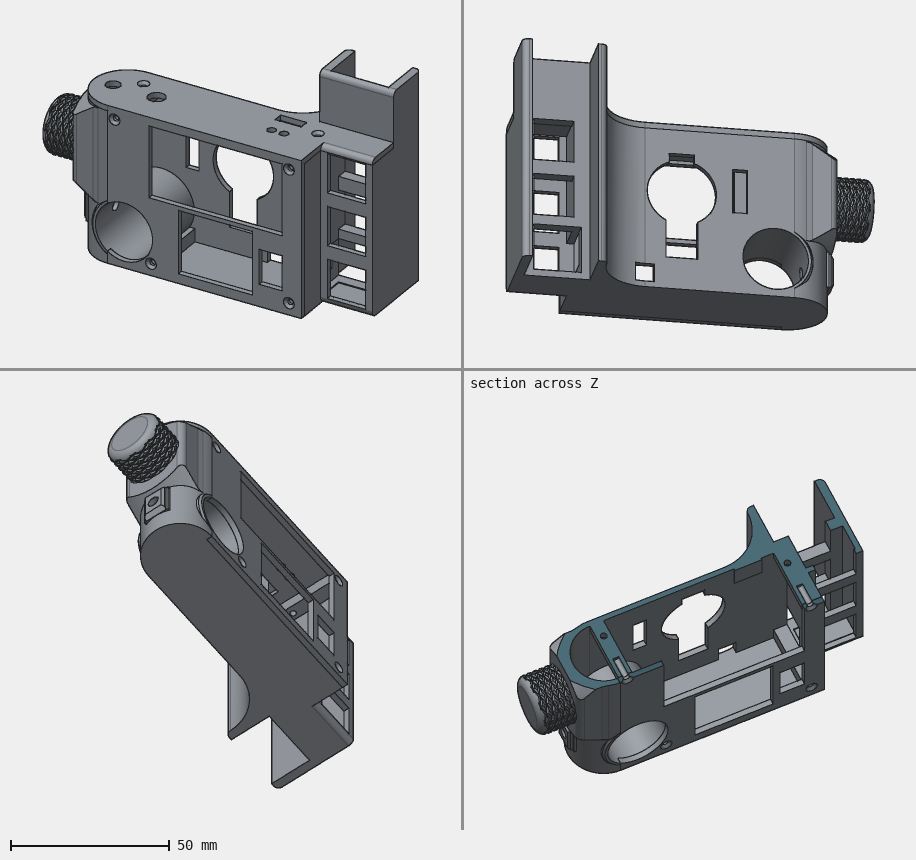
import cadquery as cq
import math


body_width = 25.0
body_height = 56.8
wall = 2.0
edge_radius = 2.0
body_end_x = 71.0
end_wall = 2.3
right_x = 90.0
overshoot = 1.2

half_width = body_width / 2
lid_z = body_height - wall
front_y = -half_width + wall
inner_back_y = half_width - wall
cavity_end_x = body_end_x - end_wall

channel_x = 62.9
channel_height = 75.0
channel_back_y = 29.5
channel_wall = 3.0
sweep_radius = channel_back_y - edge_radius - half_width

bay_front_y = -0.6
bay_window_x = (73.5, 87.5)
bay_window_height = 14.1
bay_window_pitch = 19.0
bay_window_bottom = 2.3
bay_window_count = 3
back_opening_end_x = 83.8
passage_top = 17.9

front_windows = [
    ((15.1, 64.0), (27.8, 53.7)),
    ((26.0, 53.1), (3.5, 26.3)),
    ((55.5, 64.0), (8.0, 20.6)),
]

keyhole_diameter = 22.1
keyhole_x = 36.1
keyhole_z = 33.4
keyhole_notch_width = 8.0
keyhole_notch_top = 46.7
keyhole_slot_width = 10.1
keyhole_slot_bottom = 10.8
side_slot_x = (15.1, 19.8)
side_slot_z = (27.8, 42.7)
square_opening_x = (45.0, 51.0)
square_opening_top = 8.0

lid_holes = [(5.0, -5.4), (6.0, 10.6), (3.0, 52.7), (3.0, 57.3)]

tube_x = 6.0
tube_z = 12.9
tube_outer_diameter = 24.2
tube_bore_diameter = 21.0
tube_chamfer = 0.7

screw_head_diameter = 4.0
screw_diameter = 2.0
countersink_depth = (screw_head_diameter - screw_diameter) / 2
pilot_depth = 7.0
screw_bar = 4.9
left_screw_x = 2.6
right_screw_x = 66.5
low_left_screw_x = 16.0
high_screw_z = 52.4
low_screw_z = 4.3
lid_screw_y = 5.5
front_screws = [
    (left_screw_x, high_screw_z),
    (right_screw_x, high_screw_z),
    (low_left_screw_x, low_screw_z),
    (right_screw_x, low_screw_z),
]
lid_screws = [(left_screw_x, lid_screw_y), (right_screw_x, lid_screw_y)]

knob_z = 37.4
knob_diameter = 20.0
knob_face_x = -26.4
knob_edge_radius = 2.9
shaft_diameter = 7.0
boss_face_x = -14.1
boss_width = 23.0
boss_height = 34.1
boss_edge_radius = 2.1
boss_side_end_x = -5.9
boss_root_x = -3.8
boss_face_radius = 15.8
boss_bevel_angle = 28
knurl_starts = 10
knurl_depth = 0.3
knurl_peak = 0.41
knurl_lead = 21.0

block_width = 9.3
block_bottom = 8.0
block_top = 20.1
block_base_x = -12.5
block_nose_width = 7.8
block_chamfer = 1.5
block_side_chamfer = 0.8
set_screw_diameter = 4.0
set_screw_z = 14.0

slot_x = (50.2, 59.7)
slot_y = (6.4, 9.9)
slot_pad_bottom = 45.0


def box(x, y, z):
    """Box between pairs of limits along X, Y and Z."""
    return (
        cq.Workplane("XY")
        .box(x[1] - x[0], y[1] - y[0], z[1] - z[0], centered=False)
        .translate((x[0], y[0], z[0]))
    )


def rod_x(diameter, z, x):
    """Cylinder along X on the mid plane."""
    return cq.Workplane("YZ", origin=(x[0], 0, z)).circle(diameter / 2).extrude(x[1] - x[0])


def rod_y(diameter, x, z, y):
    """Cylinder along Y."""
    return cq.Workplane("XZ", origin=(x, y[0], z)).circle(diameter / 2).extrude(y[0] - y[1])


def rod_z(diameter, x, y, z):
    """Cylinder along Z."""
    return cq.Workplane("XY", origin=(x, y, z[0])).circle(diameter / 2).extrude(z[1] - z[0])


def rounded_end_slab(radius, end_x, z):
    """Slab with a half round -X end around the origin."""
    return (
        cq.Workplane("XY", origin=(0, 0, z[0]))
        .moveTo(0, -radius)
        .lineTo(end_x, -radius)
        .lineTo(end_x, radius)
        .lineTo(0, radius)
        .threePointArc((-radius, 0), (0, -radius))
        .close()
        .extrude(z[1] - z[0])
    )


def main_block(z):
    """Main box, side bay and concave sweep between two heights."""
    block = rounded_end_slab(half_width, body_end_x, z)
    block = block.union(box((body_end_x - overshoot, right_x), (bay_front_y, half_width), z))
    start_x = channel_x - sweep_radius
    arc_middle = sweep_radius * math.sqrt(0.5)
    sweep = (
        cq.Workplane("XY", origin=(0, 0, z[0]))
        .moveTo(start_x, half_width)
        .threePointArc(
            (start_x + arc_middle, half_width + sweep_radius - arc_middle),
            (channel_x, half_width + sweep_radius),
        )
        .lineTo(channel_x + channel_wall, half_width + sweep_radius)
        .lineTo(channel_x + channel_wall, half_width - overshoot)
        .lineTo(start_x, half_width - overshoot)
        .close()
        .extrude(z[1] - z[0])
    )
    return block.union(sweep)


def outer_shell():
    """Main block with its rounded bay edges, from the floor to the top of the lid."""
    margin = 0.1
    bay_front = cq.selectors.BoxSelector(
        (body_end_x, bay_front_y - margin, -margin),
        (right_x, bay_front_y + margin, body_height + margin),
    )
    return main_block((0, body_height)).edges(bay_front).edges("|X").fillet(edge_radius)


def channel():
    """Rear U channel, open towards +Y and at both ends."""
    full = box((channel_x, right_x), (half_width, channel_back_y), (0, channel_height))
    full = full.edges(">Y and |Z").fillet(edge_radius)
    full = full.edges("<Y and >Z").fillet(edge_radius)
    inside = box(
        (channel_x + channel_wall, right_x - channel_wall),
        (half_width + wall, channel_back_y + overshoot),
        (-overshoot, channel_height + overshoot),
    )
    return full.cut(inside)


def lid_zone():
    """Space taken by the lid, in front of the channel's floor."""
    zone = box((-half_width, right_x), (-half_width, half_width), (lid_z, body_height))
    corner = box(
        (-half_width, channel_x), (half_width, half_width + sweep_radius), (lid_z, body_height)
    )
    return zone.union(corner)


def front_plate_zone():
    """Space taken by the front plate."""
    return box((0, body_end_x), (-half_width, front_y), (0, body_height))


def tube_blank():
    """Cross tube without its bore."""
    blank = rod_y(tube_outer_diameter, tube_x, tube_z, (-half_width, half_width))
    return blank.faces("|Y").chamfer(tube_chamfer)


def tube_bore():
    """Bore of the cross tube, through the whole width."""
    y = (-half_width - overshoot, half_width + overshoot)
    return rod_y(tube_bore_diameter, tube_x, tube_z, y)


def knob_boss():
    """Block that carries the knob, bevelled by a cone around the knob axis."""
    half_boss = boss_width / 2
    root_half = math.sqrt(half_width**2 - boss_root_x**2)
    blank = (
        cq.Workplane("XY", origin=(0, 0, knob_z - boss_height / 2))
        .moveTo(boss_face_x, -half_boss)
        .lineTo(boss_side_end_x, -half_boss)
        .lineTo(boss_root_x, -root_half)
        .lineTo(boss_root_x, root_half)
        .lineTo(boss_side_end_x, half_boss)
        .lineTo(boss_face_x, half_boss)
        .close()
        .extrude(boss_height)
        .edges("<X and |Z")
        .fillet(boss_edge_radius)
    )
    length = boss_root_x - boss_face_x
    root_radius = boss_face_radius + length * math.tan(math.radians(boss_bevel_angle))
    cone = (
        cq.Workplane("XY")
        .moveTo(boss_face_x, 0)
        .lineTo(boss_face_x, boss_face_radius)
        .lineTo(boss_root_x, root_radius)
        .lineTo(boss_root_x, 0)
        .close()
        .revolve(360, (0, 0, 0), (1, 0, 0))
        .translate((0, 0, knob_z))
    )
    return blank.intersect(cone)


def set_screw_block():
    """Stepped block on the rounded end, bevelled around its outer face."""
    z = (block_bottom, block_top)
    base = box((block_base_x, 0), (-block_width / 2, block_width / 2), z)
    nose = box((boss_face_x, 0), (-block_nose_width / 2, block_nose_width / 2), z)
    nose = nose.edges("<X and |Y").chamfer(block_chamfer)
    nose = nose.edges("<X and |Z").chamfer(block_side_chamfer)
    return base.union(nose)


def screw_bars():
    """Solid bars behind the front plate's screws, clear of its windows."""
    bars = cq.Workplane("XY")
    half = screw_bar / 2
    for x, z in front_screws:
        top = min(z + half, lid_z)
        bar = box((x - half, x + half), (front_y, half_width - overshoot), (z - half, top))
        bars = bars.union(bar)
    return bars


def pilot_holes():
    """Blind screw holes below the lid and behind the front plate."""
    holes = cq.Workplane("XY")
    for x, z in front_screws:
        holes = holes.union(rod_y(screw_diameter, x, z, (front_y, front_y + pilot_depth)))
    for x, y in lid_screws:
        holes = holes.union(rod_z(screw_diameter, x, y, (lid_z - screw_bar, lid_z)))
    return holes


def back_wall_openings():
    """Keyhole and two cable openings through the back wall."""
    y = (inner_back_y - overshoot, half_width + overshoot)
    half_notch = keyhole_notch_width / 2
    half_slot = keyhole_slot_width / 2
    notch_x = (keyhole_x - half_notch, keyhole_x + half_notch)
    slot_limits_x = (keyhole_x - half_slot, keyhole_x + half_slot)
    keyhole = rod_y(keyhole_diameter, keyhole_x, keyhole_z, y)
    keyhole = keyhole.union(box(notch_x, y, (keyhole_z, keyhole_notch_top)))
    keyhole = keyhole.union(box(slot_limits_x, y, (keyhole_slot_bottom, keyhole_z)))
    side_slot = box(side_slot_x, y, side_slot_z)
    square = box(square_opening_x, y, (wall, square_opening_top))
    return keyhole.union(side_slot).union(square)


def bay_cuts():
    """Hollow of the side bay, its front windows, back openings and cable passage."""
    bay_inner_y = bay_front_y + wall
    back_y = half_width + wall + overshoot
    cuts = box((body_end_x, right_x - edge_radius), (bay_inner_y, inner_back_y), (wall, lid_z))
    for i in range(bay_window_count):
        bottom = bay_window_bottom + i * bay_window_pitch
        z = (bottom, bottom + bay_window_height)
        window = box(bay_window_x, (bay_front_y - overshoot, bay_inner_y + overshoot), z)
        opening = box((body_end_x, back_opening_end_x), (inner_back_y - overshoot, back_y), z)
        cuts = cuts.union(window).union(opening)
    passage = box(
        (cavity_end_x, back_opening_end_x),
        (bay_inner_y, back_y),
        (bay_window_bottom, passage_top),
    )
    return cuts.union(passage)


def make_housing():
    """Hollow main box with its tube, boss, set screw block, side bay and channel."""
    cavity = rounded_end_slab(inner_back_y, cavity_end_x, (wall, lid_z))
    inside = rounded_end_slab(inner_back_y, cavity_end_x, (0, body_height))
    body = outer_shell().cut(lid_zone()).cut(front_plate_zone()).cut(cavity)
    body = body.union(tube_blank().cut(front_plate_zone())).union(screw_bars())
    body = body.union(box(slot_x, (slot_y[1], half_width - overshoot), (slot_pad_bottom, lid_z)))
    body = body.union(knob_boss().union(set_screw_block()).cut(inside))
    body = body.union(channel())
    body = body.cut(bay_cuts()).cut(back_wall_openings()).cut(pilot_holes()).cut(tube_bore())
    body = body.cut(rod_x(shaft_diameter, knob_z, (boss_face_x, 0)))
    return body.cut(rod_x(set_screw_diameter, set_screw_z, (boss_face_x, tube_x)))


def countersunk_hole():
    """Cutter for a countersunk screw hole that goes down from the origin through one wall."""
    return (
        cq.Workplane("XZ")
        .moveTo(0, 0)
        .lineTo(screw_head_diameter / 2, 0)
        .lineTo(screw_diameter / 2, -countersink_depth)
        .lineTo(screw_diameter / 2, -wall)
        .lineTo(0, -wall)
        .close()
        .revolve(360, (0, 0, 0), (0, 1, 0))
    )


def make_cover():
    """L-shaped cover: the lid and the front plate in one piece."""
    plate = outer_shell().intersect(lid_zone().union(front_plate_zone()))
    for x, z in front_windows:
        plate = plate.cut(box(x, (-half_width - overshoot, front_y), z))
    plate = plate.cut(tube_bore())
    front_hole = countersunk_hole().rotate((0, 0, 0), (1, 0, 0), 90)
    for x, z in front_screws:
        plate = plate.cut(front_hole.translate((x, -half_width, z)))
    for x, y in lid_screws:
        plate = plate.cut(countersunk_hole().translate((x, y, body_height)))
    through = (lid_z, body_height)
    for diameter, x in lid_holes:
        plate = plate.cut(rod_z(diameter, x, 0, through))
    return plate.cut(box(slot_x, slot_y, through))


def knurl_star(length, hand):
    """Star-shaped bar twisted to one hand (+1 or -1); its valleys are the knurl grooves."""
    radius = knob_diameter / 2
    points = []
    for i in range(2 * knurl_starts):
        angle = i * math.pi / knurl_starts
        reach = radius + knurl_peak if i % 2 else radius - knurl_depth
        points.append((reach * math.cos(angle), reach * math.sin(angle)))
    bar = cq.Workplane("XY").polyline(points).close()
    return bar.twistExtrude(length, hand * 360 * length / knurl_lead)


def make_knob():
    """Knob with a rounded rim, a diamond knurl and a shaft that sits in the boss."""
    length = boss_face_x - knob_face_x
    head = cq.Workplane("XY").circle(knob_diameter / 2).extrude(length)
    head = head.faces(">Z").edges().fillet(knob_edge_radius)
    for hand in (1, -1):
        head = head.intersect(knurl_star(length, hand))
    head = head.rotate((0, 0, 0), (0, 1, 0), -90).translate((boss_face_x, 0, knob_z))
    return head.union(rod_x(shaft_diameter, knob_z, (boss_face_x, -inner_back_y)))


housing = make_housing()
cover = make_cover()
knob = make_knob()

result = cq.Compound.makeCompound([housing.val(), cover.val(), knob.val()])